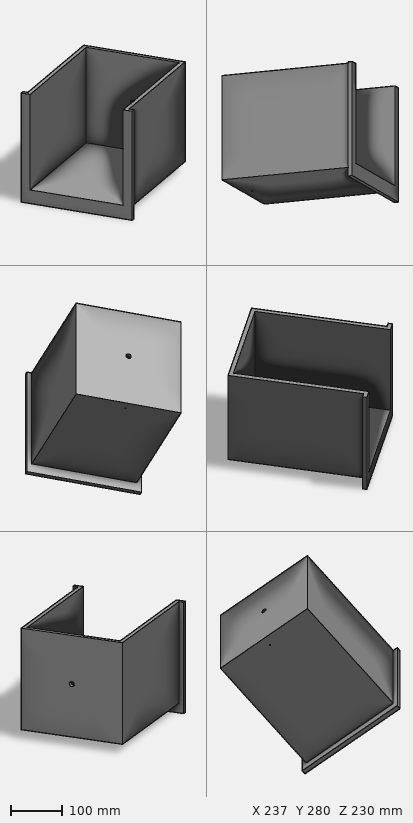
import cadquery as cq

flange_width = 237.0
total_length = 280.0
total_height = 230.0

wall = 9.0
side_overhang = 10.0
bottom_overhang = 20.0

back_hole_diameter = 10.0
floor_hole_diameter = 2.5
floor_hole_from_back = 19.3

box_width = flange_width - 2 * side_overhang
inner_width = box_width - 2 * wall
floor_top = bottom_overhang + wall
inner_height = total_height - floor_top
inner_length = total_length - wall


def block(width, length, height, bottom):
    """Block centred on X, starting at the front face and at the given bottom height."""
    return (
        cq.Workplane("XY")
        .box(width, length, height, centered=(True, False, False))
        .translate((0, 0, bottom))
    )


box = block(box_width, total_length, total_height - bottom_overhang, bottom_overhang)
flange = block(flange_width, wall, total_height, 0)

cavity = block(inner_width, inner_length, inner_height, floor_top)

back_hole = (
    cq.Workplane("XZ", origin=(0, total_length, floor_top + inner_height / 2))
    .circle(back_hole_diameter / 2)
    .extrude(wall)
)

floor_hole = (
    cq.Workplane("XY", origin=(0, total_length - floor_hole_from_back, bottom_overhang))
    .circle(floor_hole_diameter / 2)
    .extrude(wall)
)

result = box.union(flange).cut(cavity).cut(back_hole).cut(floor_hole)